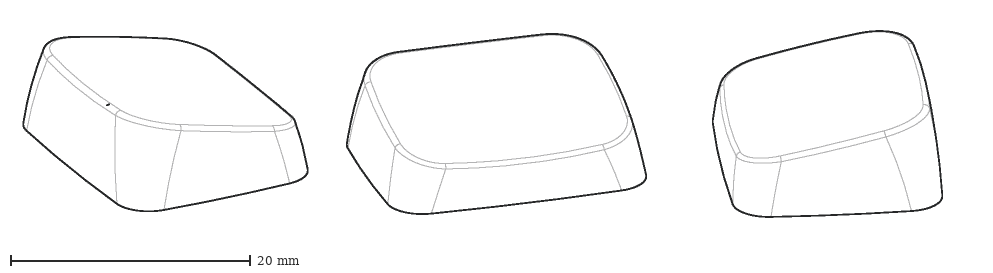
import cadquery as cq
import math

base_length = 22.75
base_depth = 18.0
base_bulge = 0.35
base_corner_radius = 3.07

top_length = 20.8
top_back_y = 8.51
top_front_y = -7.97
top_bulge = 0.6
top_front_corner_radius = 4.55
top_back_corner_radius = 3.87

top_slope = 12.4
top_centre_height = 5.7
dish_radius = 136.55
rim_fillet = 0.45
loft_margin = 0.45

side_swell = 0.1
front_swell = 0.2
back_swell = 0.11

stem_diameter = 5.5
stem_length = 2.44
stem_chamfer = 0.15


def section(length, front_y, back_y, bulge, front_radius, back_radius, height, slope):
    """Rounded outline with bowed sides, on a plane tilted about X; Y values are in plan."""
    stretch = 1 / math.cos(math.radians(slope))
    half = length / 2
    front = front_y * stretch
    back = back_y * stretch
    middle = (front + back) / 2
    outline = (
        cq.Workplane("XY")
        .moveTo(bulge - half, front + bulge)
        .threePointArc((0, front), (half - bulge, front + bulge))
        .threePointArc((half, middle), (half - bulge, back - bulge))
        .threePointArc((0, back), (bulge - half, back - bulge))
        .threePointArc((-half, middle), (bulge - half, front + bulge))
        .close()
        .val()
    )
    face = cq.Face.makeFromWires(outline)
    rounded = (
        face.fillet2D(front_radius, [v for v in face.Vertices() if v.Center().y < middle])
        .fillet2D(back_radius, [v for v in face.Vertices() if v.Center().y > middle])
        .outerWire()
    )
    tilted = rounded.rotate(cq.Vector(0, 0, 0), cq.Vector(1, 0, 0), -slope)
    return tilted.translate(cq.Vector(0, 0, height))


def average(first, second):
    return (first + second) / 2


def make_walls():
    """Loft from the flat base to above the sloping top, through a swollen middle section."""
    half_depth = base_depth / 2
    loft_height = top_centre_height + loft_margin
    base = section(
        base_length,
        -half_depth,
        half_depth,
        base_bulge,
        base_corner_radius,
        base_corner_radius,
        0,
        0,
    )
    middle = section(
        average(base_length, top_length) + 2 * side_swell,
        average(-half_depth, top_front_y) - front_swell,
        average(half_depth, top_back_y) + back_swell,
        average(base_bulge, top_bulge),
        average(base_corner_radius, top_front_corner_radius),
        average(base_corner_radius, top_back_corner_radius),
        loft_height / 2,
        top_slope / 2,
    )
    top = section(
        top_length,
        top_front_y,
        top_back_y,
        top_bulge,
        top_front_corner_radius,
        top_back_corner_radius,
        loft_height,
        top_slope,
    )
    return cq.Workplane(cq.Solid.makeLoft([base, middle, top]))


def make_dish_cutter():
    """Cylinder lying along the slope, lowest over the centre of the top."""
    return (
        cq.Workplane("XZ")
        .center(0, dish_radius)
        .circle(dish_radius)
        .extrude(base_length, both=True)
        .rotate((0, 0, 0), (1, 0, 0), -top_slope)
        .translate((0, 0, top_centre_height))
    )


def make_stem():
    return (
        cq.Workplane("XY")
        .circle(stem_diameter / 2)
        .extrude(-stem_length)
        .faces("<Z")
        .chamfer(stem_chamfer)
    )


cap = make_walls().cut(make_dish_cutter())
cap = cap.faces(">Z").edges().fillet(rim_fillet)
result = cap.union(make_stem())